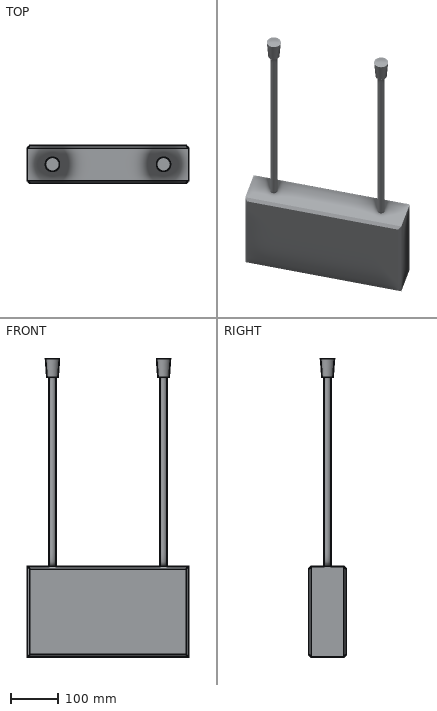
import cadquery as cq

housing_length = 342.0
housing_width = 80.0
housing_height = 192.0
edge_chamfer = 6.0

total_height = 632.0
rod_spacing = 235.0
rod_diameter = 15.0
cap_height = 40.0
cap_bottom_diameter = 24.0
cap_top_diameter = 30.0
cap_bottom_z = total_height - cap_height


def make_housing():
    box = cq.Workplane("XY").box(
        housing_length, housing_width, housing_height, centered=(True, True, False)
    )
    return box.faces("<Y or >Y").edges().chamfer(edge_chamfer)


def make_rod(x):
    rod = (
        cq.Workplane("XY", origin=(x, 0, housing_height))
        .circle(rod_diameter / 2)
        .extrude(cap_bottom_z - housing_height)
    )
    cap = (
        cq.Workplane("XY", origin=(x, 0, cap_bottom_z))
        .circle(cap_bottom_diameter / 2)
        .workplane(offset=cap_height)
        .circle(cap_top_diameter / 2)
        .loft()
    )
    return rod.union(cap)


result = make_housing()
for side in (-1, 1):
    result = result.union(make_rod(side * rod_spacing / 2))